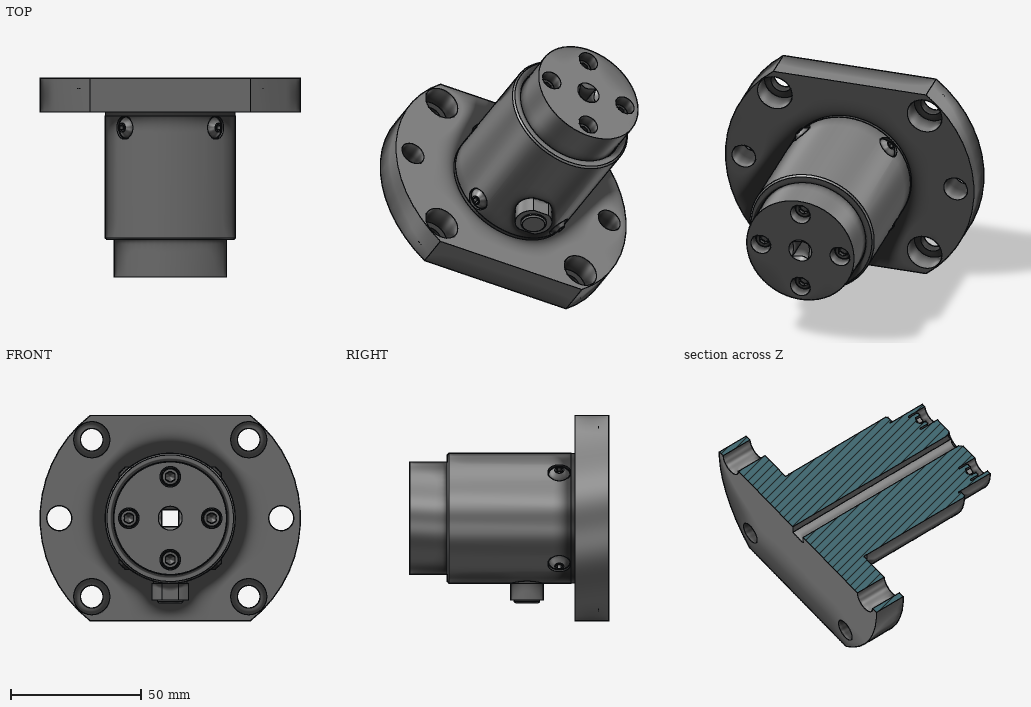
import cadquery as cq
import math

total_length = 76.2

flange_diameter = 99.7
flange_height = 78.7
flange_thickness = 13.0
flange_hole_circle = 42.5
bolt_hole_diameter = 8.6
bolt_head_diameter = 13.9
bolt_head_depth = 9.0
dowel_hole_diameter = 9.5

sleeve_diameter = 49.9
sleeve_end = 61.8
sleeve_chamfer = 0.7
neck_diameter = 49.7
neck_length = 1.5

diagonal_angles = (45, 135, 225, 315)

hub_diameter = 43.1
clearance_diameter = 43.6
clearance_depth = 1.0

drive_width = 6.4
lead_in_diameter = 9.2

screw_circle = 15.9
screw_bore_diameter = 7.9
screw_bore_depth = 8.0
head_diameter = 6.9
head_height = 4.0
head_chamfer = 0.4
hub_socket_flats = 3.5
hub_socket_depth = 2.0
drill_point_angle = 120.0
hexagon_half_step = 30.0

radial_screw_y = -19.0
radial_recess_diameter = 8.7
radial_head_diameter = 8.2
radial_tip_diameter = 3.5
radial_tip_radius = 26.0
radial_socket_flats = 2.3
radial_socket_depth = 2.0

plug_y = -31.3
plug_diameter = 14.1
plug_flats = 12.5
plug_top = -25.0
plug_bottom = -31.3
plug_neck_diameter = 12.8
plug_cap_diameter = 9.8
plug_cap_height = 1.2
plug_cap_chamfer = 0.6


def disc_y(diameter, start, length, x=0.0, z=0.0):
    """Cylinder along -Y that starts at a given distance in front of the flange back."""
    base = cq.Workplane("XZ", origin=(x, -start, z))
    return base.circle(diameter / 2).extrude(length)


def cone(start_diameter, end_diameter, height, start, direction):
    """Cone or truncated cone from a start point along a direction."""
    solid = cq.Solid.makeCone(
        start_diameter / 2, end_diameter / 2, height, cq.Vector(*start), cq.Vector(*direction)
    )
    return cq.Workplane(solid)


def hexagon_across_corners(flats):
    return flats / math.cos(math.radians(hexagon_half_step))


def make_flange():
    disc = disc_y(flange_diameter, 0, flange_thickness)
    flats = cq.Workplane("XY").box(flange_diameter, 2 * flange_thickness, flange_height)
    flange = disc.intersect(flats)
    for angle in diagonal_angles:
        x = flange_hole_circle * math.cos(math.radians(angle))
        z = flange_hole_circle * math.sin(math.radians(angle))
        flange = flange.cut(disc_y(bolt_hole_diameter, 0, flange_thickness, x, z))
        head_seat = flange_thickness - bolt_head_depth
        flange = flange.cut(disc_y(bolt_head_diameter, head_seat, bolt_head_depth, x, z))
    for x in (-flange_hole_circle, flange_hole_circle):
        flange = flange.cut(disc_y(dowel_hole_diameter, 0, flange_thickness, x))
    return flange


def make_sleeve_and_hub():
    neck = disc_y(neck_diameter, flange_thickness, neck_length)
    sleeve_start = flange_thickness + neck_length
    sleeve = disc_y(sleeve_diameter, sleeve_start, sleeve_end - sleeve_start)
    sleeve = sleeve.faces("<Y").chamfer(sleeve_chamfer)
    sleeve = sleeve.cut(disc_y(clearance_diameter, sleeve_end - clearance_depth, clearance_depth))
    hub = disc_y(hub_diameter, flange_thickness, total_length - flange_thickness)
    return neck.union(sleeve).union(hub)


def make_drive_hole():
    square = cq.Workplane("XZ").rect(drive_width, drive_width).extrude(total_length)
    lead_in = cone(lead_in_diameter, 0, lead_in_diameter / 2, (0, -total_length, 0), (0, 1, 0))
    return square.union(lead_in)


def make_cap_screw():
    """Cap screw head standing on the bore floor, on the main axis."""
    floor = total_length - screw_bore_depth
    head = disc_y(head_diameter, floor, head_height).faces("<Y").chamfer(head_chamfer)
    socket_corners = hexagon_across_corners(hub_socket_flats)
    socket_floor = floor + head_height - hub_socket_depth
    socket = cq.Workplane("XZ", origin=(0, -socket_floor, 0))
    socket = socket.transformed(rotate=(0, 0, hexagon_half_step))
    socket = socket.polygon(6, socket_corners).extrude(hub_socket_depth)
    point_height = socket_corners / 2 / math.tan(math.radians(drill_point_angle / 2))
    point = cone(socket_corners, 0, point_height, (0, -socket_floor, 0), (0, 1, 0))
    return head.cut(socket).cut(point)


def add_cap_screws(body):
    bore_start = total_length - screw_bore_depth
    screw = make_cap_screw()
    for x, z in ((screw_circle, 0), (0, screw_circle), (-screw_circle, 0), (0, -screw_circle)):
        body = body.cut(disc_y(screw_bore_diameter, bore_start, screw_bore_depth, x, z))
        body = body.union(screw.translate((x, 0, z)))
    return body


def add_radial_screws(body):
    head_rise = (radial_head_diameter - radial_tip_diameter) / 2
    seat_radius = radial_tip_radius - head_rise
    seat = cq.Workplane("XY", origin=(0, radial_screw_y, seat_radius))
    recess = seat.circle(radial_recess_diameter / 2).extrude(head_rise)
    seat_center = (0, radial_screw_y, seat_radius)
    head = cone(radial_head_diameter, radial_tip_diameter, head_rise, seat_center, (0, 0, 1))
    tip = cq.Workplane("XY", origin=(0, radial_screw_y, radial_tip_radius))
    socket_corners = hexagon_across_corners(radial_socket_flats)
    socket = tip.transformed(rotate=(0, 0, hexagon_half_step))
    socket = socket.polygon(6, socket_corners).extrude(-radial_socket_depth)
    head = head.cut(socket)
    for angle in diagonal_angles:
        body = body.cut(recess.rotate((0, 0, 0), (0, 1, 0), angle))
        body = body.union(head.rotate((0, 0, 0), (0, 1, 0), angle))
    return body


def make_plug():
    top = cq.Workplane("XY", origin=(0, plug_y, plug_top))
    plug_height = plug_top - plug_bottom
    barrel = top.circle(plug_diameter / 2).extrude(-plug_height)
    flats = top.rect(plug_diameter, plug_flats).extrude(-plug_height)
    neck = top.circle(plug_neck_diameter / 2).extrude(plug_neck_diameter / 2)
    cap = cq.Workplane("XY", origin=(0, plug_y, plug_bottom))
    cap = cap.circle(plug_cap_diameter / 2).extrude(-plug_cap_height)
    cap = cap.faces("<Z").chamfer(plug_cap_chamfer)
    return barrel.intersect(flats).union(neck).union(cap)


result = make_flange().union(make_sleeve_and_hub())
result = add_cap_screws(result)
result = add_radial_screws(result)
result = result.union(make_plug()).cut(make_drive_hole())